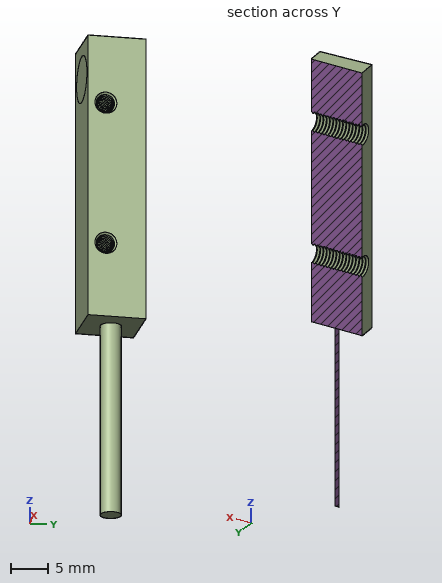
import cadquery as cq
import math

total_length = 67.0
housing_length = 40.0
envelope_width = 8.3
turn_angle = 2.2
turn = math.radians(turn_angle)
housing_side = envelope_width / (math.cos(turn) + math.sin(turn))

cable_diameter = 2.9
cable_length = total_length - housing_length

disc_diameter = 6.5
disc_depth = 1.0
disc_below_top = 5.0

thread_minor_diameter = 2.5
thread_major_diameter = 3.0
thread_groove_count = 16
thread_pitch = housing_side / thread_groove_count
hole_offset = 1.55
top_hole_below_top = 9.5
hole_spacing = 20.0
hole_count = 2


def turned(body):
    """Turn a body about the common vertical axis."""
    return body.rotate((0, 0, 0), (0, 0, 1), turn_angle)


def make_disc():
    """Sensing disc with its outer face on the -Y side, before turning."""
    return (
        cq.Workplane("XZ", origin=(0, -housing_side / 2, housing_length - disc_below_top))
        .circle(disc_diameter / 2)
        .extrude(-disc_depth)
    )


def make_cross_hole(height):
    """Cutter for one through hole with V-shaped thread grooves, widest at both mouths."""
    start = -housing_side / 2
    minor_radius = thread_minor_diameter / 2
    major_radius = thread_major_diameter / 2
    half_profile = [(start, 0), (start, major_radius)]
    for turn_index in range(thread_groove_count):
        groove_start = start + turn_index * thread_pitch
        half_profile.append((groove_start + thread_pitch / 2, minor_radius))
        half_profile.append((groove_start + thread_pitch, major_radius))
    half_profile.append((-start, 0))
    return (
        cq.Workplane("XY")
        .polyline(half_profile)
        .close()
        .revolve(360, (0, 0), (1, 0))
        .translate((0, -hole_offset, height))
    )


def make_housing():
    """Square housing with the disc recess and the cross holes, before turning."""
    housing = cq.Workplane("XY").rect(housing_side, housing_side).extrude(housing_length)
    housing = housing.cut(make_disc())
    for index in range(hole_count):
        height = housing_length - top_hole_below_top - index * hole_spacing
        housing = housing.cut(make_cross_hole(height))
    return housing


def make_cable():
    """Cable hanging from the bottom face of the housing."""
    return cq.Workplane("XY").circle(cable_diameter / 2).extrude(-cable_length)


housing = turned(make_housing())
sensing_disc = turned(make_disc())
cable = make_cable()

result = cq.Compound.makeCompound([housing.val(), sensing_disc.val(), cable.val()])